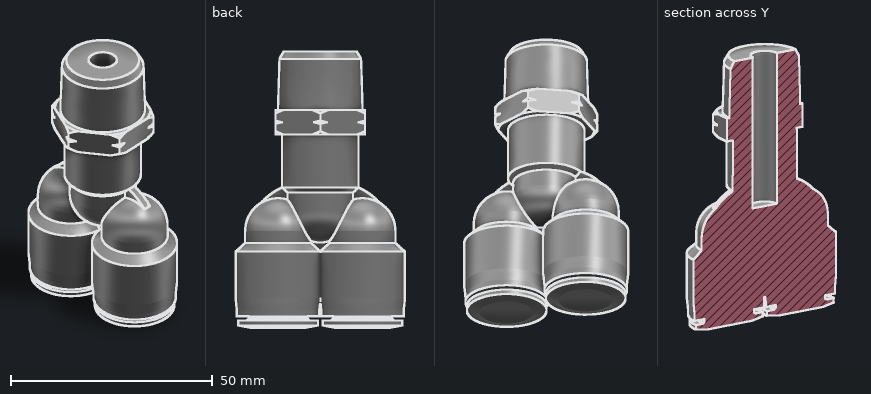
import cadquery as cq
import math

total_height = 68.5
overall_width = 42.0
rib_thickness = 2.05

thread_tip_diameter = 18.1
thread_small_diameter = 20.3
thread_large_diameter = 21.0
thread_tip_height = 1.85
bore_diameter = 7.0

hex_bottom = 47.9
hex_top = 54.0
hex_across_corners = 25.7
hex_chamfer_radius = 11.85
hex_chamfer_height = 0.8
hex_groove_depth = 0.8
hex_groove_half_width = 0.4

collar_diameter = 19.0
collar_bottom = 34.8
dome_radius = 8.2
collar_chamfer = collar_diameter / 2 - dome_radius
inlet_dome_center = 29.3

outlet_dome_center = 24.0
shoulder_top = 21.0
shoulder_bottom = 18.9
body_diameter = 21.1
outlet_offset = (overall_width - body_diameter) / 2
body_end_diameter = 20.5
taper_top = 7.25
taper_bottom = 4.3
body_bottom = 2.9

sleeve_neck_diameter = 14.6
sleeve_flange_diameter = 19.8
sleeve_flange_top = 1.85
sleeve_flange_bottom = 0.6
sleeve_face_diameter = 13.3
sleeve_neck_flare = 0.5

rib_outer_x = 14.6
rib_bulge = 0.35


def turned(profile):
    """Solid of revolution about Z from a closed (radius, z) outline."""
    return profile.close().revolve(360, (0, 0, 0), (0, 1, 0))


def make_inlet():
    collar_radius = collar_diameter / 2
    dome_tip = inlet_dome_center - dome_radius
    diagonal = dome_radius * math.sqrt(0.5)
    return turned(
        cq.Workplane("XZ")
        .moveTo(0, dome_tip)
        .threePointArc((diagonal, inlet_dome_center - diagonal), (dome_radius, inlet_dome_center))
        .lineTo(dome_radius, collar_bottom - collar_chamfer)
        .lineTo(collar_radius, collar_bottom)
        .lineTo(collar_radius, hex_top)
        .lineTo(thread_large_diameter / 2, hex_top)
        .lineTo(thread_small_diameter / 2, total_height - thread_tip_height)
        .lineTo(thread_tip_diameter / 2, total_height)
        .lineTo(0, total_height)
    )


def make_hexagon():
    height = hex_top - hex_bottom
    middle = (hex_top + hex_bottom) / 2
    corner_radius = hex_across_corners / 2
    prism = (
        cq.Workplane("XY")
        .workplane(offset=hex_bottom)
        .polygon(6, hex_across_corners)
        .extrude(height)
        .rotate((0, 0, 0), (0, 0, 1), 30)
    )
    envelope = turned(
        cq.Workplane("XZ")
        .moveTo(0, hex_bottom)
        .lineTo(hex_chamfer_radius, hex_bottom)
        .lineTo(corner_radius, hex_bottom + hex_chamfer_height)
        .lineTo(corner_radius, middle - hex_groove_half_width)
        .lineTo(corner_radius - hex_groove_depth, middle)
        .lineTo(corner_radius, middle + hex_groove_half_width)
        .lineTo(corner_radius, hex_top - hex_chamfer_height)
        .lineTo(hex_chamfer_radius, hex_top)
        .lineTo(0, hex_top)
    )
    return prism.intersect(envelope)


def make_outlet(x):
    neck_radius = sleeve_neck_diameter / 2
    diagonal = dome_radius * math.sqrt(0.5)
    outlet = turned(
        cq.Workplane("XZ")
        .lineTo(sleeve_face_diameter / 2, 0)
        .lineTo(sleeve_flange_diameter / 2, sleeve_flange_bottom)
        .lineTo(sleeve_flange_diameter / 2, sleeve_flange_top)
        .lineTo(neck_radius + sleeve_neck_flare, sleeve_flange_top)
        .lineTo(neck_radius, sleeve_flange_top + sleeve_neck_flare)
        .lineTo(neck_radius, body_bottom)
        .lineTo(body_end_diameter / 2, body_bottom)
        .lineTo(body_end_diameter / 2, taper_bottom)
        .lineTo(body_diameter / 2, taper_top)
        .lineTo(body_diameter / 2, shoulder_bottom)
        .lineTo(dome_radius, shoulder_top)
        .lineTo(dome_radius, outlet_dome_center)
        .threePointArc(
            (diagonal, outlet_dome_center + diagonal),
            (0, outlet_dome_center + dome_radius),
        )
    )
    return outlet.translate((x, 0, 0))


def make_rib():
    """Central plate joining the collar, both outlet domes and the bodies."""
    top_x = collar_diameter / 2
    outer_z = outlet_dome_center + math.sqrt(dome_radius**2 - (rib_outer_x - outlet_offset) ** 2)
    run = rib_outer_x - top_x
    drop = collar_bottom - outer_z
    length = math.hypot(run, drop)
    mid_x = (top_x + rib_outer_x) / 2 + rib_bulge * drop / length
    mid_z = (collar_bottom + outer_z) / 2 + rib_bulge * run / length
    return (
        cq.Workplane("XZ")
        .moveTo(-top_x, collar_bottom)
        .lineTo(top_x, collar_bottom)
        .threePointArc((mid_x, mid_z), (rib_outer_x, outer_z))
        .lineTo(outlet_offset, taper_top)
        .lineTo(-outlet_offset, taper_top)
        .lineTo(-rib_outer_x, outer_z)
        .threePointArc((-mid_x, mid_z), (-top_x, collar_bottom))
        .close()
        .extrude(rib_thickness / 2, both=True)
    )


bore = (
    cq.Workplane("XY")
    .workplane(offset=inlet_dome_center)
    .circle(bore_diameter / 2)
    .extrude(total_height - inlet_dome_center)
)

result = make_inlet().union(make_hexagon()).union(make_rib())
for side in (-1, 1):
    result = result.union(make_outlet(side * outlet_offset))
result = result.cut(bore)